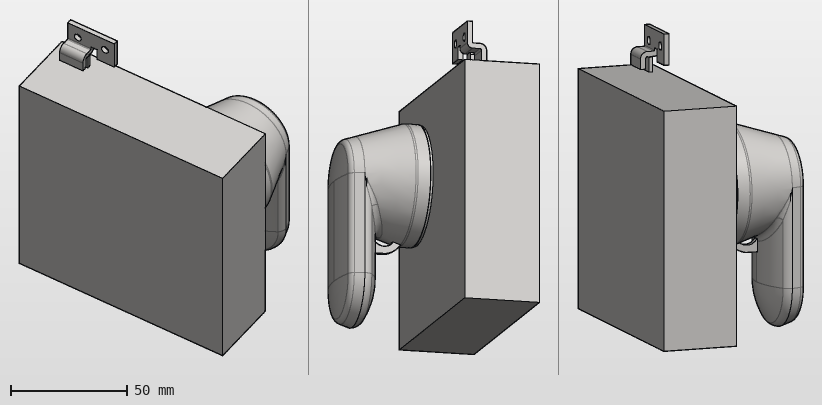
import cadquery as cq

case_width = 105.0
case_depth = 33.5
case_height = 105.4

knob_x = 76.9
knob_z = 66.1
knob_radius = 26.7
neck_radius = 26.3
neck_end_y = case_depth + 1.1
flange_end_y = 40.3
cone_start_y = 41.2
cone_start_radius = 26.5

grip_y = 62.2
grip_radius = 19.8
shoulder_y = 66.6
shoulder_radius = 18.5
rim_bend_y = 68.0
rim_bend_radius = 17.6
rim_y = 68.7
rim_radius = 16.2
crown_y = 70.5

handle_length = 44.1
handle_back_y = 53.2
handle_root_fillet = 2.5
blend_end_y = 61.4
back_rim_y = 58.7
back_rim_radius = 18.1
back_bend_y = 60.3
back_bend_radius = 19.3
back_mid_radius = 9.0
back_mid_y = 54.5

web_thickness = 2.5
web_bottom_z = 35.3
web_straight_end_y = 47.7
web_bend_y = 44.0
web_bend_z = 36.7
web_tip_y = 40.8
web_tip_z = 39.7
web_inner_start_z = 41.7
web_inner_mid_y = 48.7
web_inner_mid_z = 38.6
web_inner_end_y = 44.6
web_inner_end_z = 40.2
web_embed = 1.2

plate_left = 6.5
plate_right = 30.5
plate_top = 124.0
plate_bottom = 110.2
plate_back_y = 30.5
sheet = 2.4
hook_right = 18.5
hook_front_y = 21.8
hook_bottom = 106.8
shelf_top = 114.5
hook_bend_radius = 3.1
shelf_bend_radius = 2.4
inner_bend_radius = 0.4
slot_right = 21.6
slot_top = 115.8
screw_hole_diameter = 3.5
screw_hole_z = 117.9
screw_hole_xs = (11.7, 25.7)

bolt_left = 12.4
bolt_front_y = 25.7
bolt_thickness = 1.7
bolt_clearance = 0.2
bolt_bevel = 1.1


def crown_outline(start):
    """Add the shoulder, rounded rim and domed crown to a half outline that has reached the grip radius."""
    return (
        start.lineTo(shoulder_radius, shoulder_y)
        .threePointArc((rim_bend_radius, rim_bend_y), (rim_radius, rim_y))
        .threePointArc((rim_radius / 2, crown_y - (crown_y - rim_y) / 4), (0, crown_y))
        .close()
    )


def make_knob():
    outline = (
        cq.Workplane("XY")
        .moveTo(0, case_depth)
        .lineTo(neck_radius, case_depth)
        .lineTo(neck_radius, neck_end_y)
        .lineTo(knob_radius, neck_end_y)
        .lineTo(knob_radius, flange_end_y)
        .lineTo(cone_start_radius, cone_start_y)
        .lineTo(grip_radius, grip_y)
    )
    knob = crown_outline(outline).revolve(360, (0, 0, 0), (0, 1, 0))
    return knob.translate((knob_x, 0, knob_z))


def half_handle_section():
    outline = (
        cq.Workplane("XY")
        .moveTo(0, handle_back_y)
        .threePointArc((back_mid_radius, back_mid_y), (back_rim_radius, back_rim_y))
        .threePointArc((back_bend_radius, back_bend_y), (grip_radius, grip_y))
    )
    return crown_outline(outline)


def make_handle():
    half_bar = half_handle_section().extrude(-handle_length)
    bar = half_bar.union(half_bar.mirror("YZ"))
    end = half_handle_section().revolve(360, (0, 0, 0), (0, 1, 0)).translate((0, 0, -handle_length))
    return bar.union(end).translate((knob_x, 0, knob_z))


def make_blended_knob():
    """Join knob and handle, and fillet the curved joint between the cone and the back of the handle."""
    knob = make_knob().union(make_handle())
    front_part = knob.intersect(
        cq.Workplane("XY").box(case_width, blend_end_y, case_height, centered=False)
    )
    return front_part.edges("%BSPLINE").fillet(handle_root_fillet).union(knob)


def make_web():
    return (
        cq.Workplane("YZ", origin=(knob_x, 0, 0))
        .moveTo(handle_back_y + web_embed, web_bottom_z)
        .lineTo(web_straight_end_y, web_bottom_z)
        .threePointArc((web_bend_y, web_bend_z), (web_tip_y, web_tip_z))
        .lineTo(web_tip_y, web_tip_z + web_embed)
        .lineTo(web_inner_end_y, web_inner_end_z + web_embed)
        .lineTo(web_inner_end_y, web_inner_end_z)
        .threePointArc((web_inner_mid_y, web_inner_mid_z), (handle_back_y, web_inner_start_z))
        .lineTo(handle_back_y + web_embed, web_inner_start_z)
        .close()
        .extrude(web_thickness / 2, both=True)
    )


def make_bolt():
    bolt_top = shelf_top - sheet - bolt_clearance
    return (
        cq.Workplane("XY")
        .box(hook_right - bolt_left, bolt_thickness, bolt_top - case_height, centered=False)
        .edges("<X and >Z")
        .chamfer(bolt_bevel)
        .translate((bolt_left, bolt_front_y, case_height))
    )


def make_lock():
    case = cq.Workplane("XY").box(case_width, case_depth, case_height, centered=False)
    knob = make_blended_knob()
    return case.union(knob).union(make_web()).union(make_bolt())


def make_keeper():
    plate = (
        cq.Workplane("XZ", origin=(0, plate_back_y, 0))
        .moveTo(hook_right, plate_top)
        .lineTo(plate_right, plate_top)
        .lineTo(plate_right, plate_bottom)
        .lineTo(slot_right, plate_bottom)
        .lineTo(slot_right, slot_top)
        .lineTo(hook_right, slot_top)
        .close()
        .extrude(sheet)
    )
    shelf_bottom = shelf_top - sheet
    hook = (
        cq.Workplane("YZ", origin=(plate_left, 0, 0))
        .moveTo(plate_back_y, plate_top)
        .lineTo(plate_back_y - sheet, plate_top)
        .lineTo(plate_back_y - sheet, shelf_top + inner_bend_radius)
        .radiusArc((plate_back_y - sheet - inner_bend_radius, shelf_top), inner_bend_radius)
        .lineTo(hook_front_y + hook_bend_radius, shelf_top)
        .radiusArc((hook_front_y, shelf_top - hook_bend_radius), -hook_bend_radius)
        .lineTo(hook_front_y, hook_bottom)
        .lineTo(hook_front_y + sheet, hook_bottom)
        .lineTo(hook_front_y + sheet, shelf_top - hook_bend_radius)
        .radiusArc((hook_front_y + hook_bend_radius, shelf_bottom), hook_bend_radius - sheet)
        .lineTo(plate_back_y - shelf_bend_radius, shelf_bottom)
        .radiusArc((plate_back_y, shelf_bottom + shelf_bend_radius), -shelf_bend_radius)
        .close()
        .extrude(hook_right - plate_left)
    )
    screw_holes = (
        cq.Workplane("XZ", origin=(0, plate_back_y, 0))
        .pushPoints([(x, screw_hole_z) for x in screw_hole_xs])
        .circle(screw_hole_diameter / 2)
        .extrude(sheet)
    )
    return plate.union(hook).cut(screw_holes)


lock = make_lock()
keeper = make_keeper()

result = cq.Compound.makeCompound([lock.val(), keeper.val()])